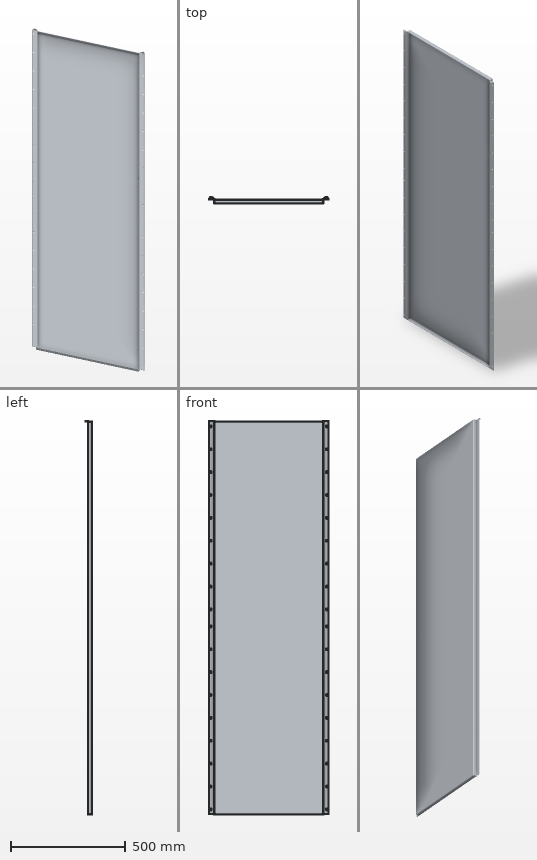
import cadquery as cq

overall_width = 523.0
overall_depth = 30.0
overall_height = 1722.0
sheet = 2.0

tray_width = 479.0
tray_depth = 19.0
end_wall_depth = 17.0
tray_top_gap = 2.5
bend_radius = 3.8

flange_bottom_gap = 2.0

tab_outer_inset = 2.0
tab_tip_inset = 7.0
tab_tip_width = 3.0

hole_diameter = 6.0
hole_edge_distance = 7.0
hole_group_span = 800.0
holes_per_group = 9
bottom_hole_margin = 22.0
top_hole_margin = 24.0

flange_edge = overall_width / 2
tray_edge = tray_width / 2
tray_height = overall_height - tray_top_gap
flange_height = overall_height - flange_bottom_gap
hole_pitch = hole_group_span / (holes_per_group - 1)


def rounded_block(width, depth, height, radius):
    """Block standing on Z = 0 behind Y = 0, with its front edges rounded."""
    block = cq.Workplane("XY").box(width, depth, height, centered=(True, False, False))
    return block.faces("<Y").edges().fillet(radius)


def make_tray():
    """Front plate with four walls folded backward; the end walls stop short of the flanges."""
    outer = rounded_block(tray_width, tray_depth, tray_height, bend_radius)
    cavity = rounded_block(
        tray_width - 2 * sheet,
        tray_depth - sheet,
        tray_height - 2 * sheet,
        bend_radius - sheet,
    ).translate((0, sheet, sheet))
    end_wall_relief = cq.Workplane("XY").box(
        tray_width - 2 * sheet,
        tray_depth - end_wall_depth,
        overall_height,
        centered=(True, False, False),
    ).translate((0, end_wall_depth, 0))
    return outer.cut(cavity).cut(end_wall_relief)


def make_flange():
    """Right-hand flange strip with the tapering tab folded backward from its top end."""
    inner_edge = tray_edge - sheet
    strip_width = flange_edge - inner_edge
    front_y = tray_depth - sheet
    fold_depth = overall_depth - front_y

    outer = cq.Workplane("XY").box(strip_width, fold_depth, flange_height, centered=False)
    outer = outer.faces("<Y").edges(">Z").fillet(bend_radius)
    cavity = cq.Workplane("XY").box(strip_width, fold_depth, flange_height, centered=False)
    cavity = cavity.faces("<Y").edges(">Z").fillet(bend_radius - sheet)
    fold = outer.cut(cavity.translate((0, sheet, -sheet)))
    fold = fold.translate((inner_edge, front_y, flange_bottom_gap))

    tip_outer = flange_edge - tab_tip_inset
    outline = [
        (inner_edge, front_y),
        (flange_edge, front_y),
        (flange_edge, tray_depth),
        (flange_edge - tab_outer_inset, tray_depth),
        (tip_outer, overall_depth),
        (tip_outer - tab_tip_width, overall_depth),
        (inner_edge, tray_depth),
    ]
    plan = cq.Workplane("XY").polyline(outline).close().extrude(overall_height)
    return fold.intersect(plan)


def make_holes():
    """Right-hand column of holes, one group rising from the bottom and one hanging from the top."""
    hole_x = flange_edge - hole_edge_distance
    points = []
    for i in range(holes_per_group):
        step = i * hole_pitch
        points.append((hole_x, bottom_hole_margin + step))
        points.append((hole_x, overall_height - top_hole_margin - step))
    back_plane = cq.Workplane("XZ", origin=(0, tray_depth, 0))
    return back_plane.pushPoints(points).circle(hole_diameter / 2).extrude(sheet)


right_side = make_flange().cut(make_holes())
left_side = right_side.mirror("YZ")
result = make_tray().union(right_side).union(left_side)